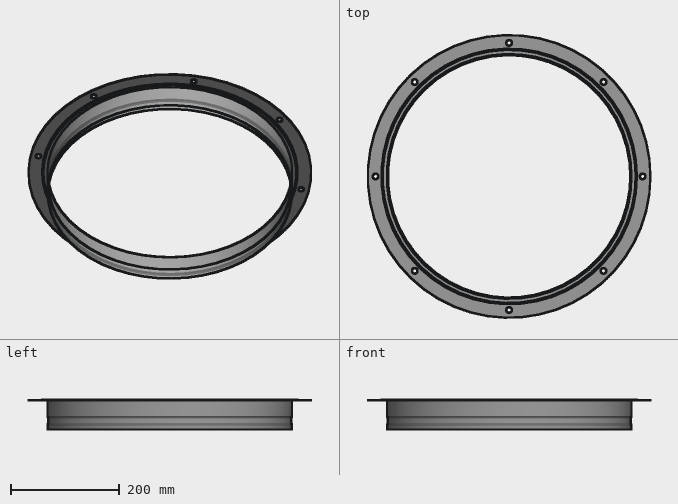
import cadquery as cq
import math

outer_radius = 260.0
total_height = 55.5

sleeve_radius = 225.0
end_taper = 0.5
wall = 1.0
collar_radius = 235.0
bend_radius = 1.0
bead_depth = 1.5
bead_bottom = 8.5
bead_top = 24.5
bead_slope = 3.0

flange_thickness = 1.5
flange_bore_radius = 232.5
bolt_circle_radius = 245.5
bolt_hole_diameter = 10.0
bolt_count = 8

collar_bottom = total_height - wall
flange_bottom = collar_bottom - flange_thickness


def make_flange():
    """Flat ring with evenly spaced bolt holes."""
    ring = (
        cq.Workplane("XY")
        .workplane(offset=flange_bottom)
        .circle(outer_radius)
        .circle(flange_bore_radius)
        .extrude(flange_thickness)
    )
    return (
        ring.faces(">Z")
        .workplane(origin=(0, 0, collar_bottom))
        .polarArray(bolt_circle_radius, 0, 360, bolt_count)
        .hole(bolt_hole_diameter)
    )


def s_curve(profile, start_radius, end_radius, start_z, end_z):
    """Join two vertical walls with a pair of equal arcs, each tangent to its wall."""
    middle = ((start_radius + end_radius) / 2, (start_z + end_z) / 2)
    end = (end_radius, end_z)
    half_step = (end_radius - start_radius) / 2
    half_rise = (end_z - start_z) / 2
    chord = math.hypot(half_step, half_rise)
    bulge = chord / 2 * math.tan(math.atan(half_step / half_rise) / 2)
    profile = profile.sagittaArc(middle, bulge)
    return profile.sagittaArc(end, -bulge)


def make_sleeve():
    """Thin revolved tube with a rolled bead and an outward collar on top."""
    inner_radius = sleeve_radius - wall
    bead_outer = sleeve_radius - bead_depth
    bead_inner = inner_radius - bead_depth
    bead_floor = bead_bottom + bead_slope
    bead_ceiling = bead_top - bead_slope

    profile = cq.Workplane("XZ").moveTo(inner_radius - end_taper, 0)
    profile = profile.lineTo(sleeve_radius - end_taper, 0).lineTo(sleeve_radius, bead_bottom)
    profile = s_curve(profile, sleeve_radius, bead_outer, bead_bottom, bead_floor)
    profile = profile.lineTo(bead_outer, bead_ceiling)
    profile = s_curve(profile, bead_outer, sleeve_radius, bead_ceiling, bead_top)
    profile = (
        profile.lineTo(sleeve_radius, collar_bottom)
        .lineTo(collar_radius, collar_bottom)
        .lineTo(collar_radius, total_height)
        .lineTo(inner_radius + bend_radius, total_height)
        .tangentArcPoint((inner_radius, total_height - bend_radius), relative=False)
        .lineTo(inner_radius, bead_top)
    )
    profile = s_curve(profile, inner_radius, bead_inner, bead_top, bead_ceiling)
    profile = profile.lineTo(bead_inner, bead_floor)
    profile = s_curve(profile, bead_inner, inner_radius, bead_floor, bead_bottom)
    return profile.close().revolve(360, (0, 0), (0, 1))


flange = make_flange()
sleeve = make_sleeve()
result = cq.Compound.makeCompound([flange.val(), sleeve.val()])